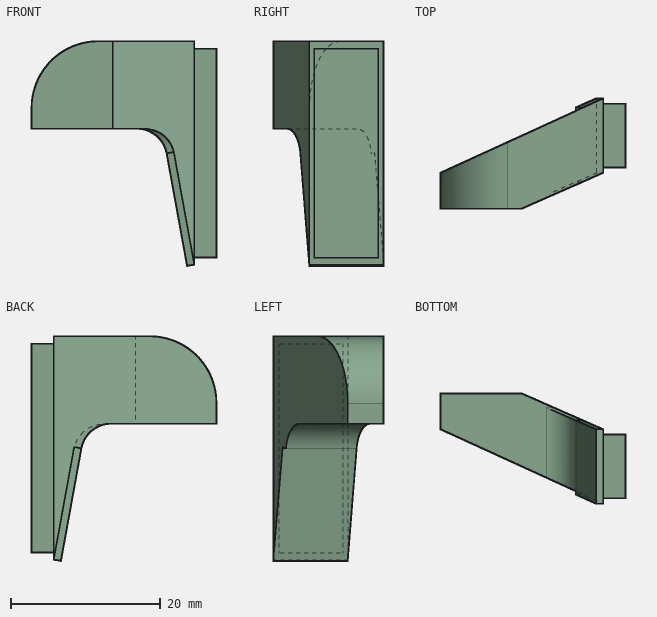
import cadquery as cq
import math


height = 30.18
reach = 21.85
depth = 14.82
mount_width = 10.0
mount_front = depth - mount_width
front_face_end = -10.95
head_bottom = 18.4
nose_radius = 9.0

leg_tilt = math.radians(10.3)
web_thickness = 1.0
fillet_radius = 4.0
web_shift = web_thickness / math.cos(leg_tilt)
leg_foot_z = web_thickness * math.sin(leg_tilt)

plate_thickness = 3.0
plate_width = 8.57
plate_bottom = 1.15
plate_height = 28.0
plate_front = 5.52

fillet_bottom = head_bottom - fillet_radius * (1 - math.sin(leg_tilt))
fillet_foot_x = -(fillet_bottom - leg_foot_z) * math.tan(leg_tilt)
fillet_center_x = fillet_foot_x - fillet_radius * math.cos(leg_tilt)
fillet_center_z = head_bottom - fillet_radius
fillet_mid_angle = (math.pi / 2 + leg_tilt) / 2


def front_y(x):
    """Y of the slanted front side of the body at a given X."""
    return mount_front + x * mount_front / -front_face_end


def back_y(x):
    """Y of the slanted back side of the body at a given X."""
    return depth + x * mount_width / reach


def fillet_point(angle):
    """X and Z of a point on the leg fillet, measured from +X toward +Z."""
    return (
        fillet_center_x + fillet_radius * math.cos(angle),
        fillet_center_z + fillet_radius * math.sin(angle),
    )


def extrude_profile(profile):
    """Extrude a closed XZ profile through the full depth."""
    return profile.close().extrude(-depth)


def make_plan():
    """Slanted footprint of the body, as a full-height prism."""
    return (
        cq.Workplane("XY")
        .moveTo(-reach, 0)
        .lineTo(front_face_end, 0)
        .lineTo(0, mount_front)
        .lineTo(0, depth)
        .lineTo(-reach, back_y(-reach))
        .close()
        .extrude(height)
    )


def make_body(plan):
    """Head with a rounded nose and a tapering leg, trimmed to the footprint."""
    nose_center_x = nose_radius - reach
    nose_center_z = height - nose_radius
    nose_offset = nose_radius * math.sqrt(0.5)
    profile = (
        cq.Workplane("XZ")
        .moveTo(0, leg_foot_z)
        .lineTo(0, height)
        .lineTo(nose_center_x, height)
        .threePointArc(
            (nose_center_x - nose_offset, nose_center_z + nose_offset),
            (-reach, nose_center_z),
        )
        .lineTo(-reach, head_bottom)
        .lineTo(fillet_center_x, head_bottom)
        .threePointArc(fillet_point(fillet_mid_angle), (fillet_foot_x, fillet_bottom))
    )
    return extrude_profile(profile).intersect(plan)


def make_web():
    """Slab raised square to the inclined leg face, with that face's outline."""
    length = fillet_bottom / math.cos(leg_tilt)
    top_x = -length * math.sin(leg_tilt)
    leg_face = cq.Plane(
        origin=(0, 0, leg_foot_z),
        xDir=(0, 1, 0),
        normal=(-math.cos(leg_tilt), 0, -math.sin(leg_tilt)),
    )
    return (
        cq.Workplane(leg_face)
        .moveTo(front_y(0), 0)
        .lineTo(back_y(0), 0)
        .lineTo(back_y(top_x), -length)
        .lineTo(front_y(top_x), -length)
        .close()
        .extrude(web_thickness)
    )


def make_web_fillet(plan):
    """Rounded top of the web: the leg fillet carried outward along X."""
    mid_x, mid_z = fillet_point(fillet_mid_angle)
    profile = (
        cq.Workplane("XZ")
        .moveTo(fillet_foot_x, fillet_bottom)
        .lineTo(fillet_foot_x, head_bottom)
        .lineTo(fillet_center_x - web_shift, head_bottom)
        .threePointArc((mid_x - web_shift, mid_z), (fillet_foot_x - web_shift, fillet_bottom))
    )

    def front_edge(fraction):
        angle = leg_tilt + fraction * (math.pi / 2 - leg_tilt)
        x, z = fillet_point(angle)
        return (front_y(x), z)

    side_outline = (
        cq.Workplane("YZ")
        .parametricCurve(front_edge, N=20, makeWire=False)
        .lineTo(depth, head_bottom)
        .lineTo(depth, fillet_bottom)
        .close()
        .extrude(-reach)
    )
    return extrude_profile(profile).intersect(side_outline).intersect(plan)


def make_plate():
    return (
        cq.Workplane("XY")
        .box(plate_thickness, plate_width, plate_height, centered=False)
        .translate((0, plate_front, plate_bottom))
    )


plan = make_plan()
result = make_body(plan)
for feature in (make_web(), make_web_fillet(plan), make_plate()):
    result = result.union(feature)